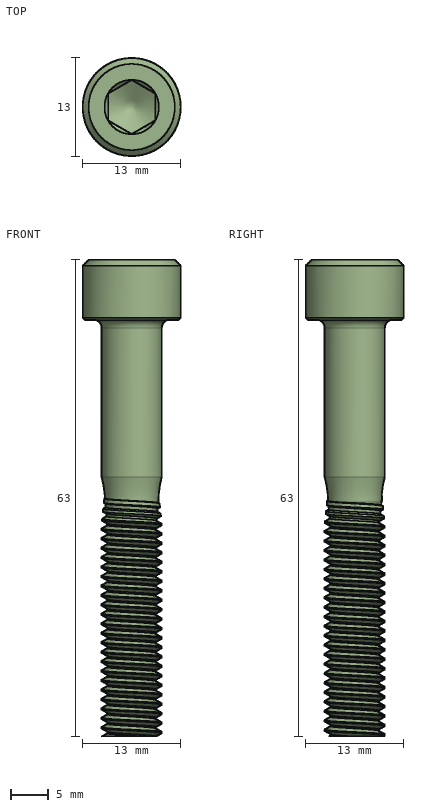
import cadquery as cq
import math


head_diameter = 13.0
head_height = 8.0
head_top_chamfer = 0.8
head_bottom_chamfer = 0.35

socket_across_flats = 6.2
socket_depth = 4.0
socket_mouth_diameter = 7.2
socket_bottom_angle = 120.0

shank_diameter = 8.0
shank_length = 55.0
underhead_diameter = 9.4
underhead_fillet_height = 1.0
plain_shank_length = 20.7
neck_length = 3.3
neck_diameter = 7.1
thread_length = 28.0

pitch = 1.25
thread_angle = 60.0
thread_turns = 25.75
thread_start_z = -55.75
runout_end_z = thread_length - shank_length
runout_start_z = -23.2
runout_start_radius = 3.6
ridge_embed = 0.05
crest_clearance = 0.3

head_radius = head_diameter / 2
shank_radius = shank_diameter / 2
crest_width = pitch / 8
thread_depth = 0.6134 * pitch
root_radius = shank_radius - thread_depth
flank_half_angle = math.radians(thread_angle / 2)


def revolve_about_z(profile):
    """Revolve a closed profile drawn in the XZ plane, with local x as the radius."""
    return profile.close().revolve(360, (0, 0, 0), (0, 1, 0))


def tangent_arc_middle(start_radius, start_z, end_radius, end_z):
    """Middle point of a concave arc that ends tangent to the Z direction."""
    drop = start_z - end_z
    step = start_radius - end_radius
    arc_radius = (drop**2 + step**2) / (2 * step)
    half_sweep = math.asin(drop / arc_radius) / 2
    middle_radius = end_radius + arc_radius * (1 - math.cos(half_sweep))
    middle_z = end_z + arc_radius * math.sin(half_sweep)
    return middle_radius, middle_z


def make_body():
    """Head, under-head fillet, plain shank and the neck that tapers to the thread root."""
    neck_top = -plain_shank_length
    neck_bottom = neck_top - neck_length
    neck_radius = neck_diameter / 2
    underhead_radius = underhead_diameter / 2
    fillet_middle = tangent_arc_middle(underhead_radius, 0, shank_radius, -underhead_fillet_height)
    neck_middle = tangent_arc_middle(shank_radius, neck_top, neck_radius, neck_bottom)
    profile = (
        cq.Workplane("XZ")
        .moveTo(0, head_height)
        .lineTo(head_radius - head_top_chamfer, head_height)
        .lineTo(head_radius, head_height - head_top_chamfer)
        .lineTo(head_radius, head_bottom_chamfer)
        .lineTo(head_radius - head_bottom_chamfer, 0)
        .lineTo(underhead_radius, 0)
        .threePointArc(fillet_middle, (shank_radius, -underhead_fillet_height))
        .lineTo(shank_radius, neck_top)
        .threePointArc(neck_middle, (neck_radius, neck_bottom))
        .lineTo(root_radius, runout_end_z)
        .lineTo(0, runout_end_z)
    )
    return revolve_about_z(profile)


def make_socket():
    """Hexagon with corners on the Y axis, a conical bottom and a 45 degree mouth chamfer."""
    corner_radius = socket_across_flats / math.sqrt(3)
    mouth_radius = socket_mouth_diameter / 2
    floor_z = head_height - socket_depth
    cone_depth = corner_radius / math.tan(math.radians(socket_bottom_angle / 2))
    hexagon_turn = 30
    hexagon = (
        cq.Workplane("XY")
        .workplane(offset=floor_z - cone_depth)
        .polygon(6, 2 * corner_radius)
        .extrude(socket_depth + cone_depth)
        .rotate((0, 0, 0), (0, 0, 1), hexagon_turn)
    )
    drill_point = revolve_about_z(
        cq.Workplane("XZ")
        .moveTo(0, head_height)
        .lineTo(corner_radius, head_height)
        .lineTo(corner_radius, floor_z)
        .lineTo(0, floor_z - cone_depth)
    )
    mouth = revolve_about_z(
        cq.Workplane("XZ")
        .moveTo(0, head_height)
        .lineTo(mouth_radius, head_height)
        .lineTo(0, head_height - mouth_radius)
    )
    return hexagon.intersect(drill_point).union(mouth)


def make_ridge():
    """Helical solid with a trapezoidal section, its base sunk slightly into the core."""
    base_radius = root_radius - ridge_embed
    base_half = crest_width / 2 + (shank_radius - base_radius) * math.tan(flank_half_angle)
    section = [
        (base_radius, -base_half),
        (shank_radius, -crest_width / 2),
        (shank_radius, crest_width / 2),
        (base_radius, base_half),
    ]
    height = thread_turns * pitch
    helices = [
        cq.Wire.makeHelix(pitch, height, radius, cq.Vector(0, 0, thread_start_z + shift), lefthand=True)
        for radius, shift in section
    ]
    faces = [cq.Face.makeRuledSurface(helices[i - 1], helices[i]) for i in range(len(helices))]
    for end in (0, 1):
        corners = [helix.positionAt(end) for helix in helices]
        faces.append(cq.Face.makeFromWires(cq.Wire.makePolygon(corners, close=True)))
    return cq.Workplane(cq.Solid.makeSolid(cq.Shell.makeShell(faces)))


def make_thread_envelope():
    """Limits the thread to the flat tip and to the cone along which the thread runs out."""
    outer_radius = shank_radius + crest_clearance
    cone_slope = (runout_start_z - runout_end_z) / (shank_radius - runout_start_radius)
    cone_bottom = runout_end_z - crest_clearance * cone_slope
    return revolve_about_z(
        cq.Workplane("XZ")
        .moveTo(0, -shank_length)
        .lineTo(outer_radius, -shank_length)
        .lineTo(outer_radius, cone_bottom)
        .lineTo(runout_start_radius, runout_start_z)
        .lineTo(0, runout_start_z)
    )


def make_thread():
    """Core cylinder and ridge, trimmed at the tip and along the runout."""
    core = (
        cq.Workplane("XY")
        .workplane(offset=thread_start_z)
        .circle(root_radius)
        .extrude(runout_start_z - thread_start_z)
    )
    return core.union(make_ridge()).intersect(make_thread_envelope())


result = make_body().union(make_thread()).cut(make_socket())